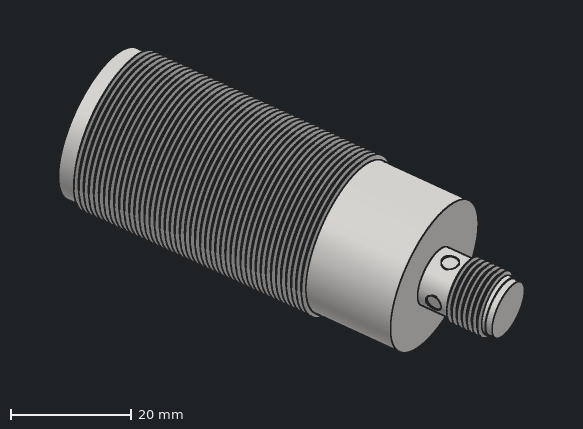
import cadquery as cq

total_length = 79.35
body_length = 64.9
shoulder_end = 78.1

body_radius = 13.9
body_crest_radius = 14.7
body_thread_start = 3.0
body_thread_length = 45.5
body_thread_turns = 46

neck_radius = 5.3
neck_crest_radius = 6.0
neck_thread_start = 70.55
neck_thread_length = 7.0
neck_thread_turns = 7
tip_radius = 5.15

window_x = 68.0
window_radius = 1.5
window_floor_radius = 4.9
window_count = 4

ridge_width = 0.8
thread_overlap = 0.15


def cylinder_x(start, end, radius):
    """Solid cylinder about the X axis between two X positions."""
    return cq.Workplane("YZ", origin=(start, 0, 0)).circle(radius).extrude(end - start)


def thread_ridge(start, length, turns, root_radius, crest_radius):
    """Right-handed triangular ridge about X, starting on the +Y side."""
    pitch = length / turns
    inner_radius = root_radius - thread_overlap
    inner_half_width = ridge_width / 2 * (crest_radius - inner_radius) / (crest_radius - root_radius)
    path = cq.Wire.makeHelix(pitch, length, root_radius)
    ridge = (
        cq.Workplane("XZ")
        .polyline(
            [
                (inner_radius, -inner_half_width),
                (crest_radius, 0),
                (inner_radius, inner_half_width),
            ]
        )
        .close()
        .sweep(cq.Workplane(path), isFrenet=True)
    )
    ridge = ridge.rotate((0, 0, 0), (0, 1, 0), 90)
    ridge = ridge.rotate((0, 0, 0), (1, 0, 0), 90)
    return ridge.translate((start, 0, 0))


def window_recess(angle):
    """Flat-bottomed round pocket sunk radially into the neck."""
    pocket = (
        cq.Workplane("XY", origin=(window_x, 0, window_floor_radius))
        .circle(window_radius)
        .extrude(neck_radius)
    )
    return pocket.rotate((0, 0, 0), (1, 0, 0), angle)


body = cylinder_x(0, body_length, body_radius)
neck = cylinder_x(body_length, shoulder_end, neck_radius)
tip = cylinder_x(shoulder_end, total_length, tip_radius)
result = body.union(neck).union(tip)

for index in range(window_count):
    result = result.cut(window_recess(index * 360 / window_count))

result = result.union(
    thread_ridge(
        body_thread_start,
        body_thread_length,
        body_thread_turns,
        body_radius,
        body_crest_radius,
    )
)
result = result.union(
    thread_ridge(
        neck_thread_start,
        neck_thread_length,
        neck_thread_turns,
        neck_radius,
        neck_crest_radius,
    )
)